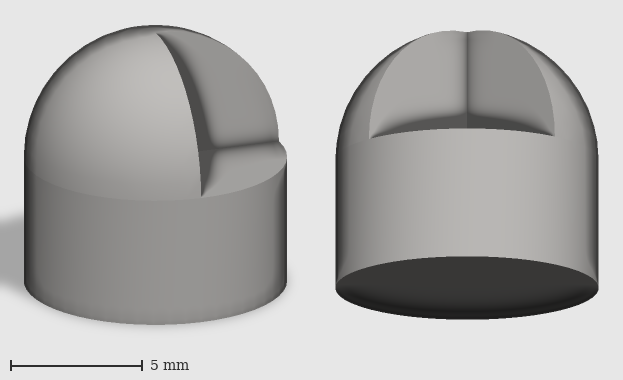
import cadquery as cq

diameter = 10.0
radius = diameter / 2
total_height = 10.0
base_height = total_height - radius


def domed_cylinder():
    """Cylinder capped by a hemisphere of the same radius."""
    profile = (
        cq.Workplane("XZ")
        .lineTo(radius, 0)
        .lineTo(radius, base_height)
        .radiusArc((0, total_height), -radius)
        .close()
    )
    return profile.revolve(360, (0, 0), (0, 1))


def dome_quarter():
    """Block covering the +X, +Y quarter of the dome, down to its flat base."""
    return (
        cq.Workplane("XY")
        .workplane(offset=base_height)
        .rect(diameter, diameter, centered=False)
        .extrude(diameter)
    )


result = domed_cylinder().cut(dome_quarter())